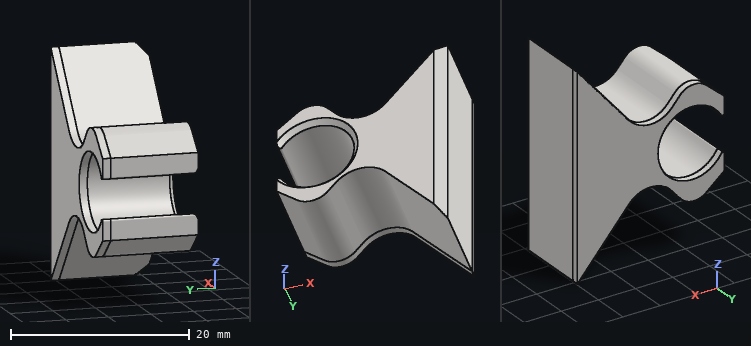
import cadquery as cq
import math

length = 19.8
depth = 11.25
height = 26.9
plate_thickness = 0.97
clip_depth = depth - plate_thickness

bore_radius = 4.6
bore_chamfer = 0.62
mouth_x = -4.35
lip_radius = 0.25

jaw_end_height = 4.73
crest_x, crest_z = 0.0, 8.42
crest_radius = 2.55
waist_x, waist_z = 5.6, 1.96
waist_radius = 3.8
foot_x = mouth_x + length
foot_chamfer = 1.26


def vertical_mirror(points):
    return [(x, -z) for x, z in reversed(points)]


def cylinder_along_y(radius, x, z, y_start, y_end):
    return (
        cq.Workplane("XZ", origin=(0, y_start, 0))
        .center(x, z)
        .circle(radius)
        .extrude(y_start - y_end)
    )


def outline_prism(y_start, y_end):
    """Solid flared outline with rounded crests and waist, before boring."""
    upper = [
        (mouth_x, jaw_end_height),
        (crest_x, crest_z),
        (waist_x, waist_z),
        (foot_x, height / 2),
    ]
    prism = (
        cq.Workplane("XZ", origin=(0, y_start, 0))
        .polyline(upper + vertical_mirror(upper))
        .close()
        .extrude(y_start - y_end)
    )
    y_middle = (y_start + y_end) / 2
    for x, z, radius in (
        (crest_x, crest_z, crest_radius),
        (waist_x, waist_z, waist_radius),
    ):
        for side in (1, -1):
            corner = cq.selectors.NearestToPointSelector((x, y_middle, side * z))
            prism = prism.edges("|Y").edges(corner).fillet(radius)
    return prism


def open_bore(body, y_start, y_end):
    """Cut the bore and its mouth, leaving each jaw with a rounded lip."""
    lip_x = mouth_x + lip_radius
    lip_reach = bore_radius + lip_radius
    lip_z = math.sqrt(lip_reach**2 - lip_x**2)
    touch_x = lip_x * bore_radius / lip_reach
    touch_z = lip_z * bore_radius / lip_reach

    mouth = (
        cq.Workplane("XZ", origin=(0, y_start, 0))
        .polyline([
            (mouth_x, lip_z),
            (lip_x, lip_z),
            (touch_x, touch_z),
            (touch_x, -touch_z),
            (lip_x, -lip_z),
            (mouth_x, -lip_z),
        ])
        .close()
        .extrude(y_start - y_end)
    )
    for side in (1, -1):
        mouth = mouth.cut(cylinder_along_y(lip_radius, lip_x, side * lip_z, y_start, y_end))
    bore = cylinder_along_y(bore_radius, 0, 0, y_start, y_end)
    return body.cut(bore).cut(mouth)


def chamfer_bore(body):
    """Conical lead-in at the front end of the bore."""
    cone = cq.Solid.makeCone(
        bore_radius + bore_chamfer,
        bore_radius,
        bore_chamfer,
        pnt=cq.Vector(0, 0, 0),
        dir=cq.Vector(0, 1, 0),
    )
    return body.cut(cq.Workplane(cone))


def make_clip():
    clip = outline_prism(0, clip_depth)
    clip = clip.faces(">X").edges("<Y").chamfer(foot_chamfer)
    clip = open_bore(clip, 0, clip_depth)
    return chamfer_bore(clip)


def make_back_plate():
    return open_bore(outline_prism(clip_depth, depth), clip_depth, depth)


clip = make_clip()
back_plate = make_back_plate()
result = cq.Compound.makeCompound([clip.val(), back_plate.val()])